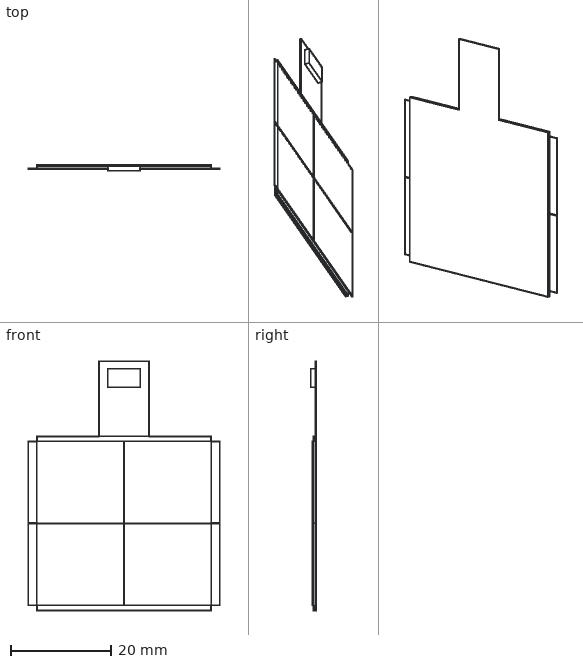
import cadquery as cq

total_height = 49.85

backing_side = 34.85
carrier_thickness = 0.28
spacer_thickness = 0.35

tab_width = 10.0

connector_width = 6.5
connector_height = 3.75
connector_top_margin = 1.5
overall_depth = 1.2
connector_depth = overall_depth - carrier_thickness

array_width = 38.4
array_height = 32.75
tile_gap = 0.1
tile_thickness = 0.2
tile_columns = 2
tile_rows = 2
tile_width = (array_width - (tile_columns - 1) * tile_gap) / tile_columns
tile_height = (array_height - (tile_rows - 1) * tile_gap) / tile_rows

carrier_front = -carrier_thickness
spacer_front = carrier_front - spacer_thickness
array_bottom = (backing_side - array_height) / 2


def slab(width, depth, height, center_x, back_y, bottom_z):
    """Upright rectangular slab extending forward from back_y."""
    return cq.Workplane("XY").box(width, depth, height, centered=(True, False, False)).translate(
        (center_x, back_y - depth, bottom_z)
    )


def make_carrier():
    """Back layer with its tab and connector block, in one piece."""
    sheet = slab(backing_side, carrier_thickness, backing_side, 0, 0, 0)
    tab = slab(tab_width, carrier_thickness, total_height - backing_side, 0, 0, backing_side)
    connector_bottom = total_height - connector_top_margin - connector_height
    connector = slab(
        connector_width, connector_depth, connector_height, 0, carrier_front, connector_bottom
    )
    return sheet.union(tab).union(connector)


def make_spacer():
    """Layer between the carrier and the tiles."""
    return slab(backing_side, spacer_thickness, backing_side, 0, carrier_front, 0)


def make_tile(column, row):
    """One tile of the array, counted from the lower left corner."""
    center_x = (column - (tile_columns - 1) / 2) * (tile_width + tile_gap)
    bottom_z = array_bottom + row * (tile_height + tile_gap)
    return slab(tile_width, tile_thickness, tile_height, center_x, spacer_front, bottom_z)


carrier = make_carrier()
spacer = make_spacer()
tiles = []
for row in range(tile_rows):
    for column in range(tile_columns):
        tiles.append(make_tile(column, row).val())

result = cq.Compound.makeCompound([carrier.val(), spacer.val(), *tiles])